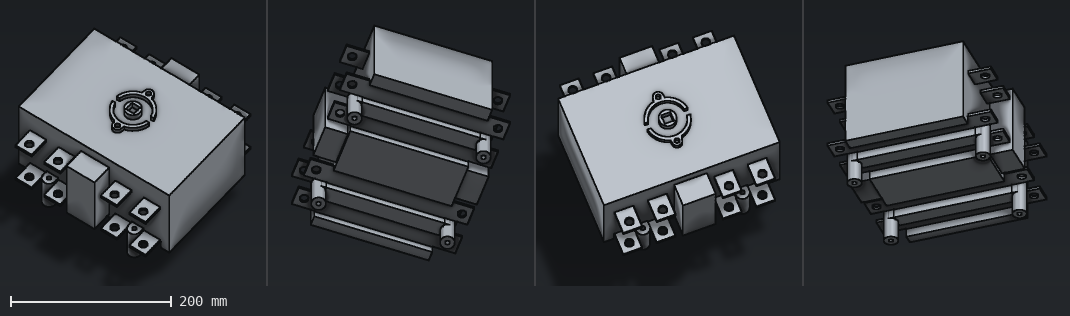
import cadquery as cq
import math


HOUSING_LENGTH = 235.0
HOUSING_DEPTH = 155.8
HOUSING_HEIGHT = 114.0
OVERALL_DEPTH = 216.0
MECHANISM_X = 1.9

SIDE_BOX_WIDTH = 43.7
SIDE_BOX_HEIGHT = 92.8
SIDE_BOX_BOTTOM = 6.0

TAB_WIDTH = 25.4
TAB_THICKNESS = 3.8
TAB_HOLE_DIAMETER = 10.8
TAB_HOLE_Y = 96.0
POLE_PAIR_X = 66.5
POLE_PITCH = 44.6
UPPER_TAB_BOTTOM = 76.5

SLOT_HEIGHT = 11.5
SLOT_OUTER_REACH = 35.7
SLOT_RIGHT_REACH = 9.9

POST_DIAMETER = 18.3
POST_HOLE_DIAMETER = 5.6
POST_Y = 85.0
POST_TOP = 18.5
POST_BOTTOM = -27.7

HUB_DIAMETER = 22.3
HUB_HEIGHT = 9.0
SOCKET_SIDE = 12.5

RING_OUTER_RADIUS = 29.1
RING_INNER_RADIUS = 24.5
RING_HEIGHT = 6.3
RING_GAP = 9.0
EAR_Y = 32.0
EAR_RADIUS = 6.8
EAR_HOLE_DIAMETER = 6.5
EAR_ROOT_HALF_WIDTH = 7.5
EAR_FLANK_TOP_Y = 34.3

WALL_Y = HOUSING_DEPTH / 2
PROJECTION = OVERALL_DEPTH / 2 - WALL_Y
PAIR_CENTRES = [MECHANISM_X - POLE_PAIR_X, MECHANISM_X + POLE_PAIR_X]
POLE_CENTRES = [pair_x + offset for pair_x in PAIR_CENTRES for offset in (-POLE_PITCH / 2, POLE_PITCH / 2)]
FRONT_AND_BACK = (-1, 1)


def upright_box(x_size, y_size, z_size, x, y, bottom):
    """Box centred on (x, y) and standing on the level `bottom`."""
    box = cq.Workplane("XY").box(x_size, y_size, z_size, centered=(True, True, False))
    return box.translate((x, y, bottom))


def upright_cylinder(diameter, height, x, y, bottom):
    """Vertical cylinder centred on (x, y) and standing on the level `bottom`."""
    return cq.Workplane("XY").circle(diameter / 2).extrude(height).translate((x, y, bottom))


def make_tab(x, side, bottom):
    """Flat terminal tab with a bolt hole, projecting from the front or back wall."""
    tab = upright_box(TAB_WIDTH, PROJECTION, TAB_THICKNESS, x, side * (WALL_Y + PROJECTION / 2), bottom)
    return tab.cut(upright_cylinder(TAB_HOLE_DIAMETER, TAB_THICKNESS, x, side * TAB_HOLE_Y, bottom))


def make_underside_slot(left, right):
    """Slot running the full depth of the housing between two X positions."""
    return upright_box(right - left, HOUSING_DEPTH, SLOT_HEIGHT, (left + right) / 2, 0, 0)


def make_hub():
    """Round drive hub on the housing top, with a square socket as deep as the hub."""
    hub = upright_cylinder(HUB_DIAMETER, HUB_HEIGHT, MECHANISM_X, 0, HOUSING_HEIGHT)
    return hub.cut(upright_box(SOCKET_SIDE, SOCKET_SIDE, HUB_HEIGHT, MECHANISM_X, 0, HOUSING_HEIGHT))


def make_housing():
    housing = upright_box(HOUSING_LENGTH, HOUSING_DEPTH, HOUSING_HEIGHT, 0, 0, 0)

    for pair_x in PAIR_CENTRES:
        post_left = pair_x - POST_DIAMETER / 2
        housing = housing.cut(make_underside_slot(pair_x - SLOT_OUTER_REACH, post_left))
        housing = housing.cut(make_underside_slot(pair_x + SLOT_RIGHT_REACH, pair_x + SLOT_OUTER_REACH))

    housing = housing.union(
        upright_box(SIDE_BOX_WIDTH, OVERALL_DEPTH, SIDE_BOX_HEIGHT, MECHANISM_X, 0, SIDE_BOX_BOTTOM)
    )

    for side in FRONT_AND_BACK:
        for x in POLE_CENTRES:
            for bottom in (SLOT_HEIGHT, UPPER_TAB_BOTTOM):
                housing = housing.union(make_tab(x, side, bottom))

    return housing.union(make_hub())


def make_mounting_post(x, side):
    """Round post under the housing edge; beside the wall it is D-shaped and lies flat against it."""
    length = POST_TOP - POST_BOTTOM
    post = upright_cylinder(POST_DIAMETER, length, x, side * POST_Y, POST_BOTTOM)
    post = post.cut(upright_box(HOUSING_LENGTH, HOUSING_DEPTH, HOUSING_HEIGHT, 0, 0, 0))

    flank_depth = POST_Y - WALL_Y
    flank_y = side * (WALL_Y + flank_depth / 2)
    post = post.union(upright_box(POST_DIAMETER, flank_depth, POST_TOP, x, flank_y, 0))

    return post.cut(upright_cylinder(POST_HOLE_DIAMETER, length, x, side * POST_Y, POST_BOTTOM))


def make_ring_half(side):
    """Half of the guide ring with its screw ear, built towards +Y and turned to its side."""
    flank_top_x = math.sqrt(EAR_RADIUS**2 - (EAR_FLANK_TOP_Y - EAR_Y) ** 2)
    ear_root_y = math.sqrt(RING_OUTER_RADIUS**2 - EAR_ROOT_HALF_WIDTH**2)
    ear = (
        cq.Workplane("XY")
        .moveTo(-EAR_ROOT_HALF_WIDTH, ear_root_y)
        .lineTo(-flank_top_x, EAR_FLANK_TOP_Y)
        .threePointArc((0, EAR_Y + EAR_RADIUS), (flank_top_x, EAR_FLANK_TOP_Y))
        .lineTo(EAR_ROOT_HALF_WIDTH, ear_root_y)
        .close()
        .extrude(RING_HEIGHT)
    )
    half = upright_cylinder(2 * RING_OUTER_RADIUS, RING_HEIGHT, 0, 0, 0).union(ear)
    half = half.cut(upright_cylinder(2 * RING_INNER_RADIUS, RING_HEIGHT, 0, 0, 0))
    half = half.cut(upright_cylinder(EAR_HOLE_DIAMETER, RING_HEIGHT, 0, EAR_Y, 0))

    removed_depth = RING_OUTER_RADIUS + RING_GAP / 2
    removed_y = RING_GAP / 2 - removed_depth / 2
    half = half.cut(upright_box(2 * RING_OUTER_RADIUS, removed_depth, RING_HEIGHT, 0, removed_y, 0))

    turn = 0 if side > 0 else 180
    return half.rotate((0, 0, 0), (0, 0, 1), turn).translate((MECHANISM_X, 0, HOUSING_HEIGHT))


housing = make_housing()
mounting_posts = [make_mounting_post(x, side) for x in PAIR_CENTRES for side in FRONT_AND_BACK]
ring_halves = [make_ring_half(side) for side in FRONT_AND_BACK]

result = cq.Compound.makeCompound(
    [
        housing.val(),
        *[post.val() for post in mounting_posts],
        *[half.val() for half in ring_halves],
    ]
)